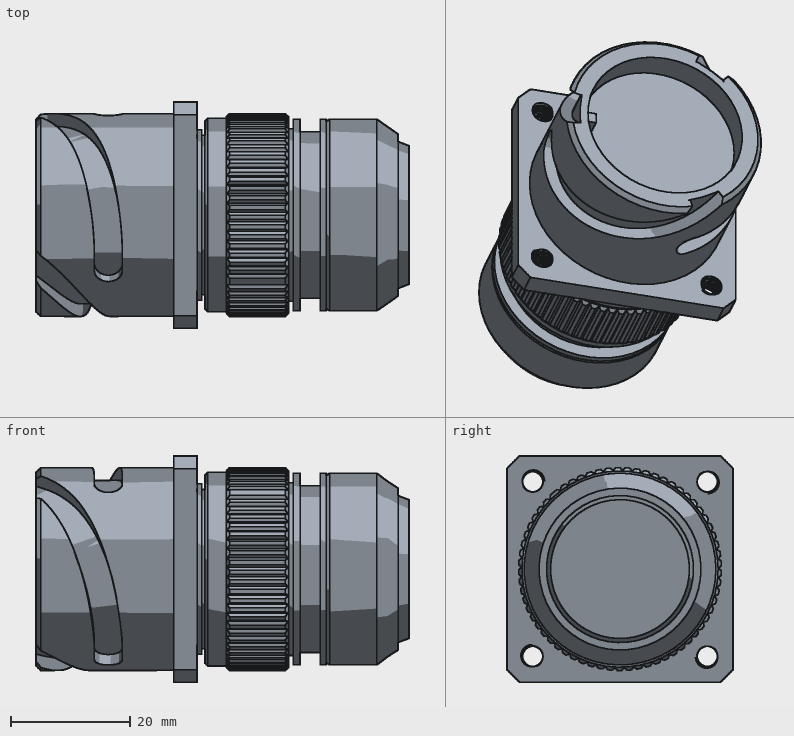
import cadquery as cq
import math


barrel_radius = 17.05
barrel_chamfer = 0.8
recess_radius = 13.5
recess_depth = 4.9
key_width = 1.8
key_height = 1.75
key_length = 3.7

flange_start = 23.1
flange_thickness = 3.95
flange_end = flange_start + flange_thickness
flange_size = 38.0
flange_corner_chamfer = 2.1
hole_offset = 14.65
hole_radius = 1.7
thread_pitch = 0.8
thread_depth = 0.3
thread_half_base = 0.3
thread_start_angle = 135.0
thread_root_overlap = 0.05

neck_radius = 14.35
neck_length = 0.8
relief_radius = 13.4
relief_length = 0.5
collar_radius = 16.3
collar_chamfer = 0.5
collar_start = flange_end + neck_length + relief_length

knurl_start = 31.95
knurl_end = 42.4
knurl_radius = 17.05
knurl_chamfer = 0.55
knurl_groove_count = 65
knurl_groove_pitch = 5.5
knurl_first_angle = 135.0
knurl_groove_depth = 0.47

rear_radius = 16.1
rear_neck_radius = 14.55
front_ring_start = 43.15
front_ring_end = 44.35
waist_radius = 14.05
back_ring_start = 47.75
back_ring_end = 48.75
rear_seam_radius = 15.8
rear_seam_end = 49.3
taper_start = 57.25
taper_end = 60.85
taper_end_radius = 13.6
tip_start_radius = 12.35
tip_end_radius = 11.65
overall_length = 62.65

slot_count = 3
slot_width = 4.7
slot_floor_radius = 14.9
slot_end_x = 12.15
slot_curve_axial = 23.8
slot_curve_angular = 130.0
slot_level_angle = 115.0
slot_end_angle = 123.0
slot_start_angle = -6.0
slot_step_count = 28
cutter_margin = 1.9


def turned_body():
    profile = [
        (0, 0),
        (0, barrel_radius - barrel_chamfer),
        (barrel_chamfer, barrel_radius),
        (flange_end, barrel_radius),
        (flange_end, neck_radius),
        (flange_end + neck_length, neck_radius),
        (flange_end + neck_length, relief_radius),
        (collar_start, relief_radius),
        (collar_start, collar_radius - collar_chamfer),
        (collar_start + collar_chamfer, collar_radius),
        (knurl_start, collar_radius),
        (knurl_start, knurl_radius - knurl_chamfer),
        (knurl_start + knurl_chamfer, knurl_radius),
        (knurl_end - knurl_chamfer, knurl_radius),
        (knurl_end, knurl_radius - knurl_chamfer),
        (knurl_end, rear_neck_radius),
        (front_ring_start, rear_neck_radius),
        (front_ring_start, rear_radius),
        (front_ring_end, rear_radius),
        (front_ring_end, waist_radius),
        (back_ring_start, waist_radius),
        (back_ring_start, rear_radius),
        (back_ring_end, rear_radius),
        (back_ring_end, rear_seam_radius),
        (rear_seam_end, rear_radius),
        (taper_start, rear_radius),
        (taper_end, taper_end_radius),
        (taper_end, tip_start_radius),
        (overall_length, tip_end_radius),
        (overall_length, 0),
    ]
    return cq.Workplane("XY").polyline(profile).close().revolve(360, (0, 0, 0), (1, 0, 0))


def thread_cutter():
    """Helical V thread along X, overshooting the flange by one pitch at both ends."""
    root = hole_radius - thread_root_overlap
    helix = cq.Wire.makeHelix(thread_pitch, flange_thickness + 2 * thread_pitch, root)
    return (
        cq.Workplane("XZ")
        .polyline([(root, -thread_half_base), (root, thread_half_base), (hole_radius + thread_depth, 0)])
        .close()
        .sweep(cq.Workplane(helix), isFrenet=True)
        .translate((0, 0, -thread_pitch))
        .rotate((0, 0, 0), (0, 1, 0), 90)
        .rotate((0, 0, 0), (1, 0, 0), thread_start_angle)
    )


def flange_quadrant():
    """The +Y +Z quarter of the flange, with its chamfered corner and threaded hole."""
    half = flange_size / 2
    cut_back = half - flange_corner_chamfer
    plate = (
        cq.Workplane("YZ")
        .polyline([(0, 0), (half, 0), (half, cut_back), (cut_back, half), (0, half)])
        .close()
        .extrude(flange_thickness)
        .translate((0, -hole_offset, -hole_offset))
    )
    bore = cq.Workplane("YZ").circle(hole_radius).extrude(flange_thickness)
    return plate.cut(thread_cutter()).cut(bore).translate((flange_start, hole_offset, hole_offset))


def recess_with_key():
    """Material removed from the mating face, leaving a key on the +Y side of the wall."""
    key = cq.Workplane("XY").box(
        key_length, 2 * key_height, key_width
    ).translate((recess_depth - key_length / 2, recess_radius, 0))
    return cq.Workplane("YZ").circle(recess_radius).extrude(recess_depth).cut(key)


def point_at(x, radius, angle):
    a = math.radians(angle)
    return cq.Vector(x, radius * math.cos(a), radius * math.sin(a))


def slot_section(angle):
    """Four corners of the slot cross-section, square to the slot's path.

    The unrolled path is an elliptical arc that turns level and then stays level.
    """
    p = math.asin(max(0.0, slot_level_angle - angle) / slot_curve_angular)
    centre_x = slot_end_x - slot_curve_axial * (1 - math.cos(p))
    arc_per_degree = barrel_radius * math.pi / 180
    slope = math.atan(slot_curve_axial * math.tan(p) / (slot_curve_angular * arc_per_degree))
    shift_x = slot_width / 2 * math.cos(slope)
    shift_angle = slot_width / 2 * math.sin(slope) / arc_per_degree
    outer = barrel_radius + cutter_margin
    return [
        point_at(centre_x - shift_x, slot_floor_radius, angle + shift_angle),
        point_at(centre_x + shift_x, slot_floor_radius, angle - shift_angle),
        point_at(centre_x + shift_x, outer, angle - shift_angle),
        point_at(centre_x - shift_x, outer, angle + shift_angle),
    ]


def slot_cutter():
    step = (slot_level_angle - slot_start_angle) / slot_step_count
    sections = [slot_section(slot_start_angle + i * step) for i in range(slot_step_count + 1)]
    sections.append(slot_section(slot_end_angle))
    faces = []
    for near, far in zip(sections, sections[1:]):
        for i in range(4):
            j = (i + 1) % 4
            near_edge = cq.Edge.makeLine(near[i], near[j])
            far_edge = cq.Edge.makeLine(far[i], far[j])
            faces.append(cq.Face.makeRuledSurface(near_edge, far_edge))
    for end in (sections[0], sections[-1]):
        floor_edge = cq.Edge.makeLine(end[0], end[1])
        top_edge = cq.Edge.makeLine(end[3], end[2])
        faces.append(cq.Face.makeRuledSurface(floor_edge, top_edge))
    channel = cq.Solid.makeSolid(cq.Shell.makeShell(faces))
    end_centre = point_at(slot_end_x, slot_floor_radius, slot_end_angle)
    rounded_end = cq.Solid.makeCylinder(
        slot_width / 2,
        barrel_radius + cutter_margin - slot_floor_radius,
        end_centre,
        point_at(0, 1, slot_end_angle),
    )
    return channel, rounded_end


def knurl_groove_cutter():
    """V groove with a 90 degree included angle, on the +Y side."""
    tip = knurl_radius - knurl_groove_depth
    rim = knurl_radius + knurl_groove_depth
    half_width = rim - tip
    return (
        cq.Workplane("YZ", origin=(knurl_start, 0, 0))
        .polyline([(tip, 0), (rim, half_width), (rim, -half_width)])
        .close()
        .extrude(knurl_end - knurl_start)
        .val()
    )


def about_axis(shape, angle):
    return shape.rotate(cq.Vector(0, 0, 0), cq.Vector(1, 0, 0), angle)


body = turned_body()
groove = knurl_groove_cutter()
grooves = [
    about_axis(groove, knurl_first_angle + i * knurl_groove_pitch) for i in range(knurl_groove_count)
]
body = body.cut(cq.Workplane(cq.Compound.makeCompound(grooves)))

quadrant = flange_quadrant().val()
for i in range(4):
    body = body.union(cq.Workplane(about_axis(quadrant, i * 90)))

body = body.cut(recess_with_key())

for i in range(slot_count):
    for cutter in slot_cutter():
        body = body.cut(cq.Workplane(about_axis(cutter, i * 360 / slot_count)))

result = body